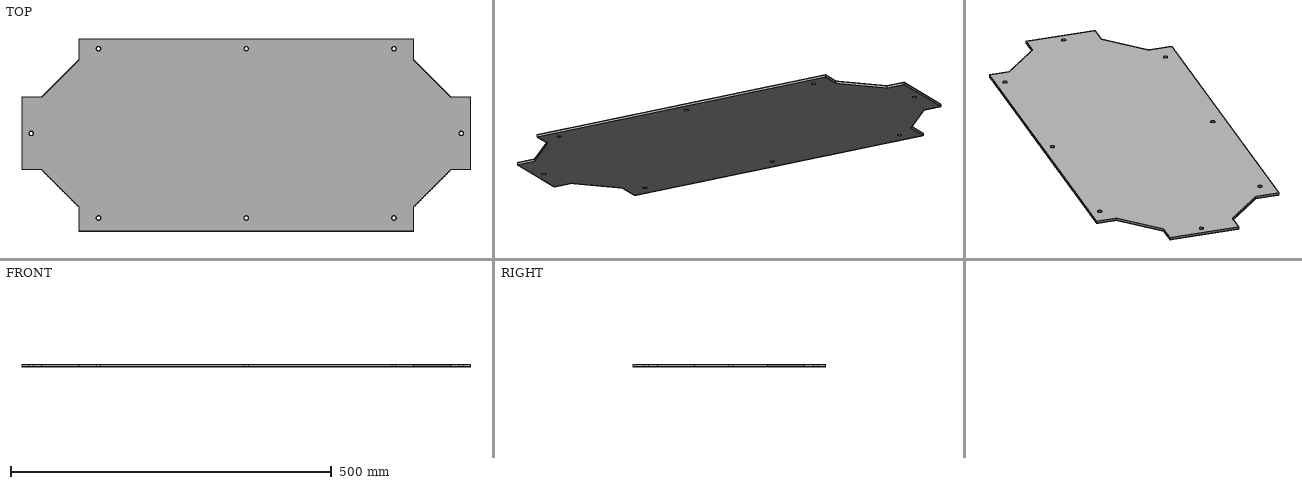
import cadquery as cq

length = 700.0
width = 300.0
thickness = 4.0

pattern_y = 3.0

cutout_depth_x = 89.0
end_tab_reach = 31.0
end_tab_width = 113.5
slant = cutout_depth_x - end_tab_reach

hole_diameter = 6.6
end_hole_inset = 15.0
side_hole_spacing = 230.0
side_hole_row_gap = 264.0


def corner_cutout(x_side, y_side):
    """Material removed from one corner of the rectangular plate."""
    outer_x = x_side * length / 2
    outer_y = y_side * width / 2
    tab_x = outer_x - x_side * end_tab_reach
    body_x = outer_x - x_side * cutout_depth_x
    tab_y = pattern_y + y_side * end_tab_width / 2
    shoulder_y = tab_y + y_side * slant
    outline = [
        (outer_x, outer_y),
        (outer_x, tab_y),
        (tab_x, tab_y),
        (body_x, shoulder_y),
        (body_x, outer_y),
    ]
    return cq.Workplane("XY").polyline(outline).close().extrude(thickness)


def hole_centers():
    """One hole in each end tab and three along each long side."""
    end_hole_x = length / 2 - end_hole_inset
    centers = [(-end_hole_x, pattern_y), (end_hole_x, pattern_y)]
    for y_side in (-1, 1):
        for column in (-1, 0, 1):
            hole_y = pattern_y + y_side * side_hole_row_gap / 2
            centers.append((column * side_hole_spacing, hole_y))
    return centers


plate = cq.Workplane("XY").box(length, width, thickness, centered=(True, True, False))

for x_side in (-1, 1):
    for y_side in (-1, 1):
        plate = plate.cut(corner_cutout(x_side, y_side))

holes = cq.Workplane("XY").pushPoints(hole_centers()).circle(hole_diameter / 2).extrude(thickness)

result = plate.cut(holes)